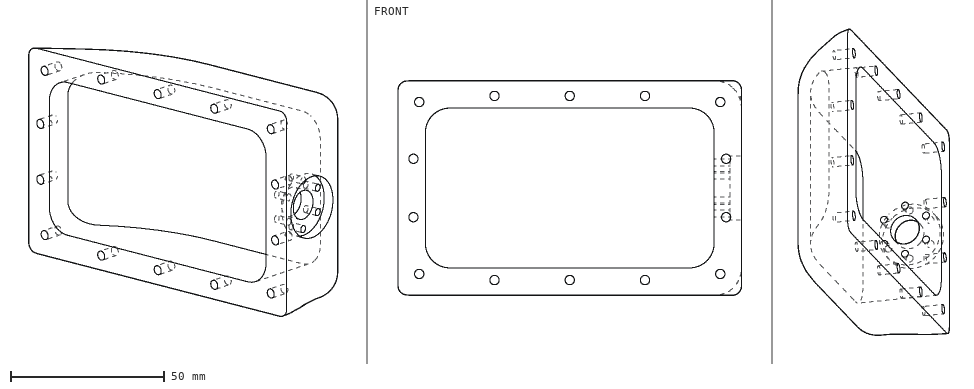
import cadquery as cq
import math


length = 112.0
depth = 30.8
height = 70.0
back_arc_radius = 75.0
slope_angle = 37.5
back_fillet = 9.0
rim_corner_radius = 3.0
corner_sections = 8

rim_width = 9.0
back_wall = 4.0
cavity_corner_radius = 8.0

rim_hole_diameter = 3.0
rim_hole_depth = 6.7
rim_hole_pitch_x = 24.5
long_side_hole_z = 30.0
corner_hole_z = 28.0
short_side_hole_x = 51.0
short_side_hole_z = 9.5

port_y = 12.4
port_diameter = 9.7
port_wall = 5.2
port_recess_diameter = 20.8
port_screw_diameter = 2.4
port_screw_circle_radius = 8.3
port_screw_count = 6

half_length = length / 2
half_height = height / 2
upright_length = depth - back_fillet
clearance = 1.1
corner_block_side = back_fillet + clearance
slope = math.radians(slope_angle)


def profile_prism(inset, width):
    """Extrude the side profile over a Z width, with its back moved inward by inset.

    A flat back runs into an arc at x = 0, and the arc into a straight slope.
    """
    radius = back_arc_radius - inset
    back_y = depth - inset
    centre_y = depth - back_arc_radius

    def arc_point(angle):
        return (-radius * math.sin(angle), centre_y + radius * math.cos(angle))

    slope_x, slope_y = arc_point(slope)
    nose_y = slope_y - (half_length + slope_x) * math.tan(slope)
    return (
        cq.Workplane("XY", origin=(0, 0, -width / 2))
        .moveTo(-half_length, 0)
        .lineTo(-half_length, nose_y)
        .lineTo(slope_x, slope_y)
        .threePointArc(arc_point(slope / 2), (0, back_y))
        .lineTo(half_length, back_y)
        .lineTo(half_length, 0)
        .close()
        .extrude(width)
    )


def rounded_prism():
    """Round the back edges and the upright +X corners with one radius."""
    tolerance = 0.01
    rounded_edges = cq.selectors.BoxSelector(
        (-half_length + tolerance, tolerance, -height),
        (length, 2 * depth, height),
    )
    return profile_prism(0, height).edges(rounded_edges).fillet(back_fillet)


def corner_relief():
    """The waste outside the +X +Z corner, whose radius grows from the rim to the back fillet.

    The radius follows an S curve that starts and ends square to the rim.
    """
    far_x = half_length + clearance
    far_z = half_height + clearance
    sections = []
    for step in range(corner_sections + 1):
        share = step / corner_sections
        s_curve = share**2 * (3 - 2 * share)
        radius = rim_corner_radius + (back_fillet - rim_corner_radius) * s_curve
        tangent_x = half_length - radius
        tangent_z = half_height - radius
        arc_rise = radius * math.sqrt(0.5)
        section = (
            cq.Workplane("XZ", origin=(0, share * upright_length, 0))
            .moveTo(tangent_x, half_height)
            .threePointArc((tangent_x + arc_rise, tangent_z + arc_rise), (half_length, tangent_z))
            .lineTo(far_x, tangent_z)
            .lineTo(far_x, far_z)
            .lineTo(tangent_x, far_z)
            .close()
        )
        sections.append(section.val())
    return cq.Workplane(cq.Solid.makeLoft(sections))


def corner_block():
    """A square block at the +X +Z corner, from the rim to the start of the back fillet."""
    block = cq.Workplane("XY").box(corner_block_side, upright_length, corner_block_side, centered=False)
    return block.translate((half_length - corner_block_side, 0, half_height - corner_block_side))


def outer_body():
    """The rounded prism, with the lower part of its +X corners replaced by tapering ones."""
    body = rounded_prism()
    block = corner_block()
    tapered_block = block.cut(corner_relief())
    body = body.cut(block).cut(block.mirror("XY"))
    body = body.union(tapered_block).union(tapered_block.mirror("XY"))
    nose_edges = body.faces("<X").edges("not <Y")
    return nose_edges.fillet(rim_corner_radius)


def cavity():
    """A rounded opening whose floor runs parallel to the back, the arc and the slope."""
    opening = (
        cq.Workplane("XZ")
        .rect(length - 2 * rim_width, height - 2 * rim_width)
        .extrude(-depth)
        .edges("|Y")
        .fillet(cavity_corner_radius)
    )
    return opening.intersect(profile_prism(back_wall, height))


def rim_holes():
    """Blind screw holes: five along each long side and two along each short side."""
    points = []
    for side in (-1, 1):
        points += [(column * rim_hole_pitch_x, side * long_side_hole_z) for column in (-1, 0, 1)]
        points += [(column * rim_hole_pitch_x, side * corner_hole_z) for column in (-2, 2)]
        points += [(end * short_side_hole_x, side * short_side_hole_z) for end in (-1, 1)]
    return cq.Workplane("XZ").pushPoints(points).circle(rim_hole_diameter / 2).extrude(-rim_hole_depth)


def port():
    """Bore, screw circle and outer recess through the +X wall."""
    inner_x = half_length - rim_width
    wall = cq.Workplane("YZ", origin=(inner_x, port_y, 0))
    bore = wall.circle(port_diameter / 2).extrude(rim_width)
    screws = (
        wall.polarArray(port_screw_circle_radius, 90, 360, port_screw_count)
        .circle(port_screw_diameter / 2)
        .extrude(rim_width)
    )
    recess = (
        wall.workplane(offset=port_wall)
        .circle(port_recess_diameter / 2)
        .extrude(rim_width - port_wall)
    )
    return bore.union(screws).union(recess)


result = outer_body().cut(cavity()).cut(rim_holes()).cut(port())